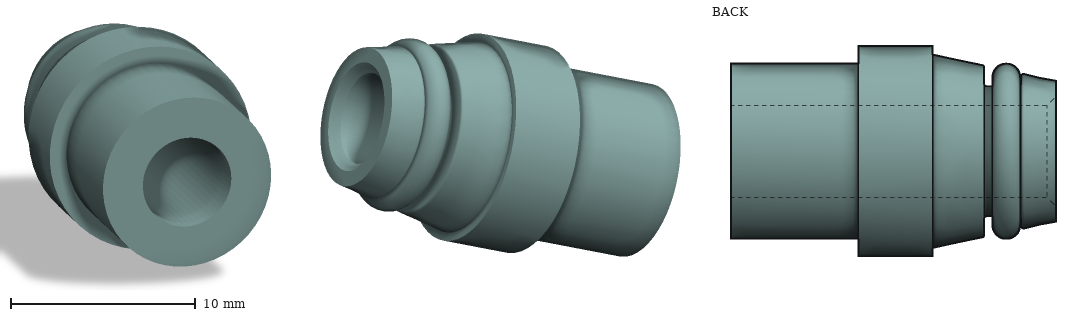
import cadquery as cq
import math

total_length = 17.6
collar_start = 6.69
collar_end = 10.7
groove_start = 1.9
groove_end = 3.89

collar_radius = 5.7
tail_radius = 4.75
nose_tip_radius = 3.82
taper_angle = 12
taper_rise = collar_start * math.tan(math.radians(taper_angle))
taper_end_radius = nose_tip_radius + taper_rise

groove_floor_radius = 3.52
groove_round = 0.14
ring_center_x = 2.7
ring_section_radius = 0.75
ring_outer_radius = 4.75
ring_center_radius = ring_outer_radius - ring_section_radius

bore_radius = 2.5
mouth_chamfer = 0.5


def revolve_about_x(sketch):
    return sketch.revolve(360, (0, 0, 0), (1, 0, 0))


def make_body():
    """Tapered nose, collar and straight tail turned from one half section."""
    profile = (
        cq.Workplane("XY")
        .moveTo(0, 0)
        .lineTo(0, nose_tip_radius)
        .lineTo(collar_start, taper_end_radius)
        .lineTo(collar_start, collar_radius)
        .lineTo(collar_end, collar_radius)
        .lineTo(collar_end, tail_radius)
        .lineTo(total_length, tail_radius)
        .lineTo(total_length, 0)
        .close()
    )
    return revolve_about_x(profile)


def cut_groove(body):
    """Ring groove with rounded rims and rounded floor corners."""
    groove_width = groove_end - groove_start
    groove = (
        cq.Workplane("YZ", origin=(groove_start, 0, 0))
        .circle(collar_radius)
        .circle(groove_floor_radius)
        .extrude(groove_width)
    )
    grooved = body.cut(groove)
    box_min = (groove_start - groove_round / 2, -collar_radius, -collar_radius)
    box_max = (groove_end + groove_round / 2, collar_radius, collar_radius)
    groove_edges = cq.selectors.BoxSelector(box_min, box_max, boundingbox=True)
    return grooved.edges("%CIRCLE").edges(groove_edges).fillet(groove_round)


def make_ring():
    """Ring with a rounded crest and straight flanks reaching into the groove floor."""
    ring_start = ring_center_x - ring_section_radius
    ring_end = ring_center_x + ring_section_radius
    section = (
        cq.Workplane("XY")
        .moveTo(ring_start, bore_radius)
        .lineTo(ring_start, ring_center_radius)
        .threePointArc((ring_center_x, ring_outer_radius), (ring_end, ring_center_radius))
        .lineTo(ring_end, bore_radius)
        .close()
    )
    return revolve_about_x(section)


def make_bore():
    """Bore cutter including the conical mouth."""
    profile = (
        cq.Workplane("XY")
        .moveTo(0, 0)
        .lineTo(0, bore_radius + mouth_chamfer)
        .lineTo(mouth_chamfer, bore_radius)
        .lineTo(total_length, bore_radius)
        .lineTo(total_length, 0)
        .close()
    )
    return revolve_about_x(profile)


result = cut_groove(make_body()).union(make_ring()).cut(make_bore())